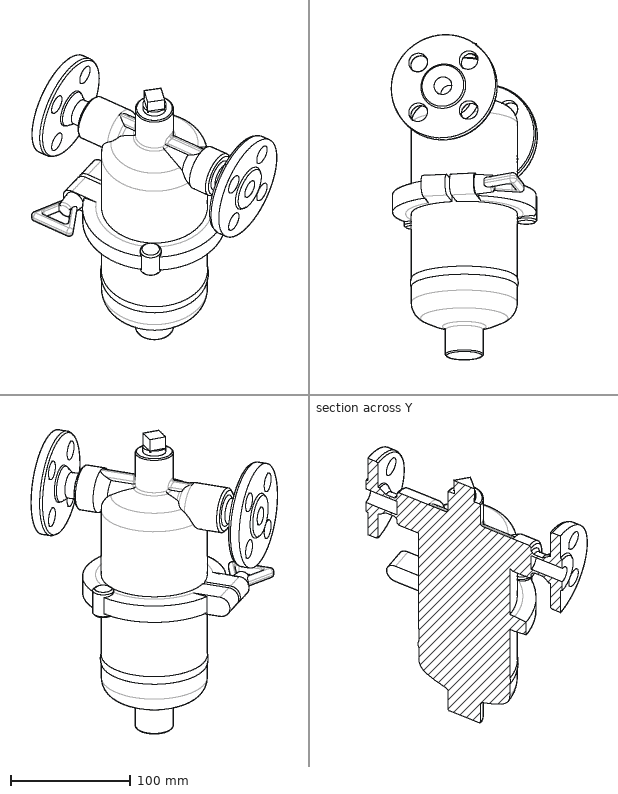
import cadquery as cq
import math

overall_height = 269.0
body_radius = 89.0 / 2
nozzle_radius = 32.0 / 2
nozzle_edge = 1.0
hub_fillet = 2.2
drain_fillet = 3.0

crown_radius = 75.5
knuckle_radius = 15.3
lower_tangent_z = 45.7
upper_tangent_z = 200.1
hub_top_z = 254.0

bead_z = 63.0
bead_height = 7.0
bead_bulge = 0.8

plug_neck_radius = 9.7
plug_neck_height = 4.5
square_side = 14.5
square_height = 11.8

port_z = 210.0
face_x = 95.5
flange_front_x = 93.5
flange_back_x = 83.7
flange_radius = body_radius
flange_back_chamfer_x = 2.2
flange_back_chamfer_r = 1.0
face_radius = 17.8
face_root_radius = 19.0
flange_hub_radius = 16.0
flange_hub_start_x = 82.0
flange_hub_shoulder_radius = 15.3
pipe_radius = 21.8 / 2
flange_hub_end_x = 76.0
socket_x = 65.5
socket_radius = 19.0
socket_edge = 2.0
weld_leg = 2.5
bore_radius = 15.0 / 2
core_radius = 13.7
inlet_socket_end_x = 34.5
inlet_shoulder_radius = 7.0
inlet_shoulder_drop = 3.8
inlet_root_radius = 2.7
outlet_socket_end_x = 47.5
outlet_taper_end_x = 36.9

bolt_hole_radius = 16.0 / 2
bolt_hole_offset = 21.5

rib_width = 9.7
rib_round = 3.8

clamp_z = 131.3
clamp_radius = 60.3
clamp_flat_radius = 49.2
clamp_height = 17.8
clamp_rim_height = 15.0

pin_x = 27.5
pin_y = 47.5
pin_radius = 9.0
pin_height = 23.5
pin_edge = 1.5

lug_x = -67.8
lug_width = 44.7
lug_slit = 3.8

handle_x = -65.0
stem_root_radius = 8.3
stem_tip_radius = 7.0
stem_tip_y = -37.7
grip_top_y = -30.0
grip_bottom_y = -clamp_radius
grip_top_half = 7.3
grip_bottom_half = 22.3
grip_thickness = 8.5
grip_round = 3.2
grip_corner = 3.5
opening_top_half = 5.6
opening_bottom_half = 14.0
opening_bottom_y = -54.3
opening_corner = 2.5
opening_round = 1.0
stem_tip_round = 2.0

slack = 0.13


def head_points(tangent_z, direction):
    """Profile points (r, z) of a dished head that bulges up (+1) or down (-1)."""
    knuckle_center_r = body_radius - knuckle_radius
    crown_drop = math.sqrt((crown_radius - knuckle_radius) ** 2 - knuckle_center_r ** 2)
    lean = math.atan2(knuckle_center_r, crown_drop)

    def crown_point(angle):
        height = crown_radius * math.cos(angle) - crown_drop
        return (crown_radius * math.sin(angle), tangent_z + direction * height)

    middle = (lean + math.pi / 2) / 2
    knuckle_middle = (
        knuckle_center_r + knuckle_radius * math.sin(middle),
        tangent_z + direction * knuckle_radius * math.cos(middle),
    )
    return {
        "tangent": (body_radius, tangent_z),
        "knuckle_middle": knuckle_middle,
        "crease": crown_point(lean),
        "crown_middle": crown_point(lean / 2),
        "apex": crown_point(0),
    }


def make_shell():
    lower = head_points(lower_tangent_z, -1)
    upper = head_points(upper_tangent_z, 1)
    profile = (
        cq.Workplane("XZ")
        .moveTo(*lower["apex"])
        .threePointArc(lower["crown_middle"], lower["crease"])
        .threePointArc(lower["knuckle_middle"], lower["tangent"])
        .lineTo(body_radius, bead_z - bead_height / 2)
        .threePointArc((body_radius + bead_bulge, bead_z), (body_radius, bead_z + bead_height / 2))
        .lineTo(*upper["tangent"])
        .threePointArc(upper["knuckle_middle"], upper["crease"])
        .threePointArc(upper["crown_middle"], upper["apex"])
        .close()
    )
    shell = profile.revolve(360, (0, 0, 0), (0, 1, 0))

    drain = cq.Workplane("XY").circle(nozzle_radius).extrude(lower_tangent_z)
    drain = drain.faces("<Z").chamfer(nozzle_edge)
    hub = cq.Workplane("XY").workplane(offset=upper_tangent_z)
    hub = hub.circle(nozzle_radius).extrude(hub_top_z - upper_tangent_z)
    hub = hub.faces(">Z").chamfer(nozzle_edge)

    return shell.union(drain).union(hub)


def round_nozzle_root(body, low_z, high_z, radius):
    """Fillet every edge that runs around a nozzle wall between two heights."""
    reach = nozzle_radius + slack
    zone = cq.selectors.BoxSelector((-reach, -reach, low_z), (reach, reach, high_z), boundingbox=True)
    return body.edges(zone).fillet(radius)


def make_plug():
    neck = cq.Workplane("XY").workplane(offset=hub_top_z)
    neck = neck.circle(plug_neck_radius).extrude(plug_neck_height)
    square = cq.Workplane("XY").workplane(offset=overall_height - square_height)
    square = square.rect(square_side, square_side).extrude(square_height)
    return neck.union(square.rotate((0, 0, 0), (0, 0, 1), 45))


def port_outline():
    """Half section from the flange face inwards to the outer end of the socket."""
    return (
        cq.Workplane("XY")
        .moveTo(0, 0)
        .lineTo(face_x, 0)
        .lineTo(face_x, face_radius)
        .lineTo(flange_front_x, face_root_radius)
        .lineTo(flange_front_x, flange_radius)
        .lineTo(flange_back_x + flange_back_chamfer_x, flange_radius)
        .lineTo(flange_back_x, flange_radius - flange_back_chamfer_r)
        .lineTo(flange_back_x, flange_hub_radius)
        .lineTo(flange_hub_start_x, flange_hub_shoulder_radius)
        .lineTo(flange_hub_end_x, pipe_radius)
        .lineTo(socket_x + weld_leg, pipe_radius)
        .lineTo(socket_x, pipe_radius + weld_leg)
        .lineTo(socket_x, socket_radius - socket_edge)
        .lineTo(socket_x - socket_edge, socket_radius)
    )


def finish_port(outline):
    """Close the section at the vessel axis, revolve it and drill the flange."""
    port = outline.lineTo(0, core_radius).close().revolve(360, (0, 0, 0), (1, 0, 0))
    bore = cq.Workplane("YZ").workplane(offset=socket_x)
    bore = bore.circle(bore_radius).extrude(face_x - socket_x)
    bolt_holes = (
        cq.Workplane("YZ")
        .workplane(offset=flange_back_x)
        .rect(2 * bolt_hole_offset, 2 * bolt_hole_offset, forConstruction=True)
        .vertices()
        .circle(bolt_hole_radius)
        .extrude(flange_front_x - flange_back_x)
    )
    return port.cut(bore).cut(bolt_holes).translate((0, 0, port_z))


def make_outlet():
    outline = (
        port_outline()
        .lineTo(outlet_socket_end_x, socket_radius)
        .lineTo(outlet_taper_end_x, core_radius)
    )
    return finish_port(outline)


def make_inlet():
    shoulder_x = inlet_socket_end_x - inlet_shoulder_radius
    outline = (
        port_outline()
        .lineTo(inlet_socket_end_x, socket_radius)
        .radiusArc((shoulder_x, socket_radius - inlet_shoulder_drop), -inlet_shoulder_radius)
        .radiusArc((shoulder_x - inlet_root_radius, core_radius), inlet_root_radius)
    )
    return finish_port(outline).mirror("YZ")


def make_ribs():
    length = inlet_socket_end_x + outlet_socket_end_x
    ribs = cq.Workplane("XY").box(length, rib_width, socket_radius, centered=(False, True, False))
    ribs = ribs.edges("|X and >Z").fillet(rib_round)
    return ribs.translate((-inlet_socket_end_x, 0, port_z))


def make_clamp():
    half = clamp_height / 2
    rim_half = clamp_rim_height / 2
    band = (
        cq.Workplane("XZ")
        .polyline(
            [
                (0, -half),
                (clamp_flat_radius, -half),
                (clamp_radius, -rim_half),
                (clamp_radius, rim_half),
                (clamp_flat_radius, half),
                (0, half),
            ]
        )
        .close()
        .revolve(360, (0, 0, 0), (0, 1, 0))
    )
    pins = (
        cq.Workplane("XY")
        .workplane(offset=-pin_height / 2)
        .pushPoints([(pin_x, -pin_y), (pin_x, pin_y)])
        .circle(pin_radius)
        .extrude(pin_height)
        .faces("<Z or >Z")
        .chamfer(pin_edge)
    )
    lug = (
        cq.Workplane("XZ")
        .moveTo(0, half)
        .lineTo(lug_x, half)
        .threePointArc((lug_x - half, 0), (lug_x, -half))
        .lineTo(0, -half)
        .close()
        .extrude(lug_width / 2, both=True)
    )
    slit_length = half - lug_x
    slit = cq.Workplane("XY").box(slit_length, lug_slit, clamp_height, centered=(False, True, True))
    slit = slit.translate((lug_x - half, 0, 0))
    clamp = band.union(lug).cut(slit).union(pins)
    return clamp.translate((0, 0, clamp_z))


def trapezoid(top_half, top_y, bottom_half, bottom_y):
    """Trapezoidal plate, symmetric about X = 0, as thick as the grip."""
    return (
        cq.Workplane("XY")
        .polyline(
            [
                (-top_half, top_y),
                (top_half, top_y),
                (bottom_half, bottom_y),
                (-bottom_half, bottom_y),
            ]
        )
        .close()
        .extrude(grip_thickness / 2, both=True)
    )


def make_handle():
    grip = trapezoid(grip_top_half, grip_top_y, grip_bottom_half, grip_bottom_y)
    grip = grip.edges("|Z and <Y").fillet(grip_corner)
    grip = grip.faces("<Z or >Z").edges().fillet(grip_round)
    opening = trapezoid(opening_top_half, stem_tip_y, opening_bottom_half, opening_bottom_y)
    opening = opening.edges("|Z and <Y").fillet(opening_corner)
    grip = grip.cut(opening)
    rim_zone = cq.selectors.BoxSelector(
        (-opening_bottom_half, opening_bottom_y - slack, -grip_thickness),
        (opening_bottom_half, stem_tip_y + slack, grip_thickness),
        boundingbox=True,
    )
    grip = grip.faces("<Z or >Z").edges(rim_zone).fillet(opening_round)

    root_y = -lug_width / 2
    stem = (
        cq.Workplane("XY")
        .moveTo(0, root_y)
        .lineTo(stem_root_radius, root_y)
        .lineTo(stem_tip_radius, stem_tip_y)
        .lineTo(0, stem_tip_y)
        .close()
        .revolve(360, (0, 0, 0), (0, 1, 0))
        .faces("<Y")
        .fillet(stem_tip_round)
    )
    return grip.union(stem).translate((handle_x, 0, clamp_z))


rib_top_z = port_z + socket_radius
body = make_shell().union(make_inlet()).union(make_outlet()).union(make_ribs())
body = round_nozzle_root(body, lower_tangent_z / 2, lower_tangent_z, drain_fillet)
body = round_nozzle_root(body, upper_tangent_z, rib_top_z + slack, hub_fillet)
result = body.union(make_plug()).union(make_clamp()).union(make_handle())